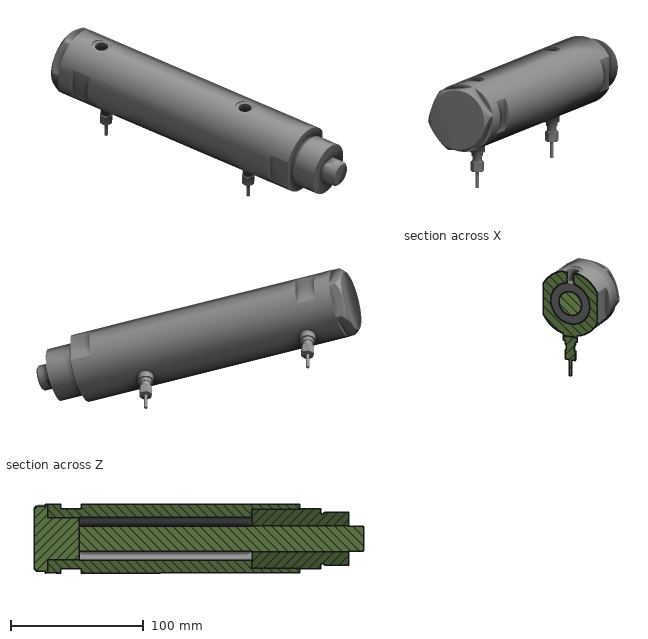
import cadquery as cq
import math

total_length = 249.0
total_height = 84.5

tube_radius = 52.0 / 2
bore_radius = 16.2
head_bore_radius = 22.0
rod_radius = 9.7
wrench_flat_offset = 23.0

hex_length = 8.5
cap_flange_end = 10.7
cap_plug_end = 34.5
hex_face_radius = 22.7
hex_turn = 8.5

tube_end = 200.5
tube_flat_start = 20.5
tube_flat_length = 15.2

port_positions = [30.6, 161.5]
port_radius = 5.0
port_seat_radius = 7.5
port_seat_height = math.sqrt(tube_radius**2 - port_seat_radius**2)

sensor_positions = [34.9, 164.5]
sensor_seat_depth = 27.0
collar_radius = 6.0
collar_end = 30.6
shoulder_radius = 4.5
shoulder_end = 33.5
neck_radius = 3.7
nut_start = 37.5
nut_end = 45.5
nut_flat_offset = shoulder_radius
nut_chamfer = 0.7
cable_radius = 1.2
cable_end = total_height - tube_radius

head_plug_start = 164.4
head_shoulder = 216.6
relief_land_radius = 19.5
relief_radius = 18.7
relief_start = 217.1
relief_end = 218.5
nose_chamfer_end = 220.0
nose_radius = 20.2
nose_end = 237.5

rod_flat_offset = 8.2
rod_flat_end = 243.0
rod_chamfer = 1.2


def turned(profile):
    """Solid of revolution about X from (x, radius) points running between two points on the axis."""
    return cq.Workplane("XY").polyline(profile).close().revolve(360, (0, 0), (1, 0))


def rod_along_x(start, end, radius):
    return cq.Workplane("YZ").workplane(offset=start).circle(radius).extrude(end - start)


def post_down(x, start_depth, end_depth, radius):
    """Vertical cylinder between two distances below the axis."""
    plane = cq.Workplane("XY", origin=(x, 0, -start_depth))
    return plane.circle(radius).extrude(start_depth - end_depth)


def flat_band(start, end):
    """Slab that limits a round body to the space between two wrench flats facing -Y and +Y."""
    slab = cq.Workplane("XY").box(end - start, 2 * wrench_flat_offset, 4 * tube_radius)
    return slab.translate(((start + end) / 2, 0, 0))


def hex_corner_radius(flat_offset):
    """Distance from the center of a hexagon to its corners."""
    return flat_offset / math.cos(math.pi / 6)


def with_side_flats(body, start, end):
    """Cut the two opposite wrench flats over one stretch of the body."""
    full_round = rod_along_x(start, end, 2 * tube_radius)
    return body.cut(full_round.cut(flat_band(start, end)))


def make_cap():
    corner_chamfer = tube_radius - hex_face_radius
    envelope = turned([
        (0, 0),
        (0, hex_face_radius),
        (corner_chamfer, tube_radius),
        (hex_length, tube_radius),
        (hex_length, 0),
    ])
    hexagon = (
        cq.Workplane("YZ")
        .polygon(6, 2 * hex_corner_radius(wrench_flat_offset))
        .extrude(hex_length)
        .rotate((0, 0, 0), (1, 0, 0), -hex_turn)
    )
    flange = rod_along_x(hex_length, cap_flange_end, tube_radius)
    plug = rod_along_x(cap_flange_end, cap_plug_end, bore_radius)
    return hexagon.intersect(envelope).union(flange).union(plug)


def make_tube():
    tube = rod_along_x(cap_flange_end, tube_end, tube_radius)
    tube = with_side_flats(tube, tube_flat_start, tube_flat_start + tube_flat_length)
    for x in sensor_positions:
        tube = tube.union(post_down(x, bore_radius, sensor_seat_depth, collar_radius))
    tube = tube.cut(rod_along_x(cap_flange_end, tube_end, bore_radius))
    tube = tube.cut(rod_along_x(head_plug_start, tube_end, head_bore_radius))
    for x in port_positions:
        seat = cq.Workplane("XY", origin=(x, 0, port_seat_height)).circle(port_seat_radius)
        tube = tube.cut(seat.extrude(tube_radius - port_seat_height))
        tube = tube.cut(cq.Workplane("XY", origin=(x, 0, 0)).circle(port_radius).extrude(tube_radius))
    return tube


def make_head():
    head = turned([
        (head_plug_start, 0),
        (head_plug_start, head_bore_radius),
        (tube_end, head_bore_radius),
        (tube_end, tube_radius),
        (head_shoulder, tube_radius),
        (head_shoulder, relief_land_radius),
        (relief_start, relief_land_radius),
        (relief_start, relief_radius),
        (relief_end, relief_radius),
        (relief_end, relief_land_radius),
        (nose_chamfer_end, nose_radius),
        (nose_end, nose_radius),
        (nose_end, 0),
    ])
    head = with_side_flats(head, tube_end, head_shoulder)
    return head.cut(rod_along_x(head_plug_start, nose_end, rod_radius))


def make_rod():
    rod = rod_along_x(cap_plug_end, total_length, rod_radius).faces(">X").chamfer(rod_chamfer)
    flat_length = rod_flat_end - nose_end
    cutter_height = rod_radius
    for side in (1, -1):
        cutter = cq.Workplane("XY").box(flat_length, 2 * rod_radius, cutter_height)
        center_z = side * (rod_flat_offset + cutter_height / 2)
        rod = rod.cut(cutter.translate((nose_end + flat_length / 2, 0, center_z)))
    return rod


def make_nut(x):
    """Hexagonal cable nut with its corners along X, bevelled at both ends."""
    height = nut_end - nut_start
    plane = cq.Workplane("XY", origin=(x, 0, -nut_end))
    corner_radius = hex_corner_radius(nut_flat_offset)
    hexagon = plane.polygon(6, 2 * corner_radius).extrude(height)
    return hexagon.intersect(plane.circle(corner_radius).extrude(height).edges().chamfer(nut_chamfer))


def make_sensor(x):
    collar = post_down(x, sensor_seat_depth, collar_end, collar_radius)
    shoulder = post_down(x, collar_end, shoulder_end, shoulder_radius)
    neck = post_down(x, shoulder_end, nut_start, neck_radius)
    cable = post_down(x, nut_end, cable_end, cable_radius)
    return collar.union(shoulder).union(neck).union(make_nut(x)).union(cable)


cap = make_cap()
tube = make_tube()
head = make_head()
rod = make_rod()
sensors = [make_sensor(x).val() for x in sensor_positions]

result = cq.Compound.makeCompound([cap.val(), tube.val(), head.val(), rod.val(), *sensors])